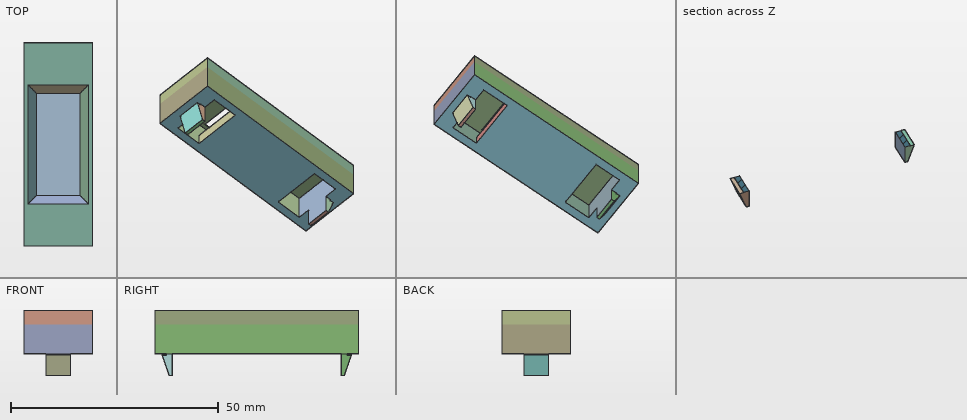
import cadquery as cq

WIDTH = 16.5
LENGTH = 49.0
BODY_HEIGHT = 7.0
LID_HEIGHT = 3.5

WINDOW_WIDTH = 10.5
WINDOW_LENGTH = 24.6
WINDOW_FLARE = 2.0

HOOK_WIDTH = 6.0
HOOK_HEIGHT = 5.2
HOOK_INNER_Y = 20.3
HOOK_ROOT = 1.5
HOOK_REACH = 2.5
HOOK_TIP = 0.8
LIP_GAP = 0.3

SIDE_WALL = 2.0
CAVITY_WIDTH = WIDTH - 2 * SIDE_WALL
CAVITY_LENGTH = 2 * HOOK_INNER_Y

FLOOR_THICKNESS = 3.0
FLOOR_MARGIN = (CAVITY_WIDTH - WINDOW_WIDTH) / 2
FLOOR_LENGTH = WINDOW_LENGTH + 2 * FLOOR_MARGIN


def block(width, length, height):
    """Box centred in X and Y, standing on Z = 0."""
    return cq.Workplane("XY").box(width, length, height, centered=(True, True, False))


def make_body():
    """Hollow frame with a floor that leaves an opening at each end."""
    frame = block(WIDTH, LENGTH, BODY_HEIGHT).cut(block(CAVITY_WIDTH, CAVITY_LENGTH, BODY_HEIGHT))
    return frame.union(block(CAVITY_WIDTH, FLOOR_LENGTH, FLOOR_THICKNESS))


def make_lid():
    """Cover plate with the flared window."""
    window = (
        cq.Workplane("XY")
        .rect(WINDOW_WIDTH, WINDOW_LENGTH)
        .workplane(offset=LID_HEIGHT)
        .rect(WINDOW_WIDTH + 2 * WINDOW_FLARE, WINDOW_LENGTH + 2 * WINDOW_FLARE)
        .loft(combine=True, ruled=True)
    )
    return block(WIDTH, LENGTH, LID_HEIGHT).cut(window).translate((0, 0, BODY_HEIGHT))


def make_hook(side):
    """Snap hook at the +Y end (side = 1) or the -Y end (side = -1), lip facing outwards."""
    profile = [
        (HOOK_INNER_Y, 0),
        (HOOK_INNER_Y + HOOK_ROOT, 0),
        (HOOK_INNER_Y + HOOK_ROOT, -LIP_GAP),
        (HOOK_INNER_Y + HOOK_REACH, -LIP_GAP),
        (HOOK_INNER_Y + HOOK_TIP, -HOOK_HEIGHT),
        (HOOK_INNER_Y, -HOOK_HEIGHT),
    ]
    outline = [(side * y, z) for y, z in profile]
    return cq.Workplane("YZ").polyline(outline).close().extrude(HOOK_WIDTH / 2, both=True)


result = make_body()
for end in (1, -1):
    result = result.union(make_hook(end))

result = result.union(make_lid(), clean=False)